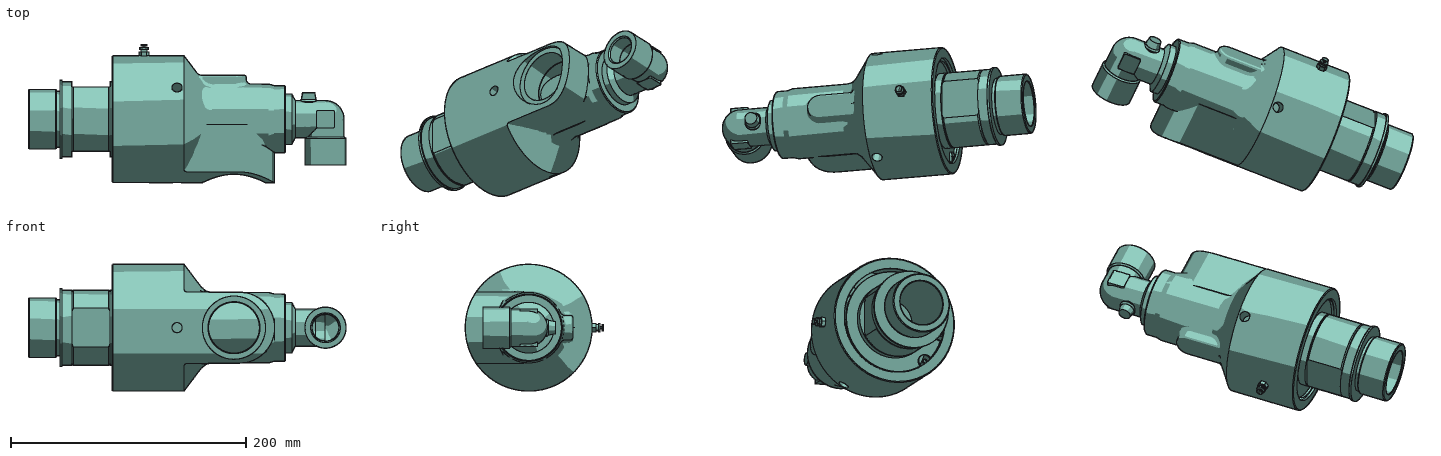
import cadquery as cq
import math


overlap = 2.7
margin = 0.3

thread_dia = 50.8
thread_end = 24.0
thread_chamfer = 0.8
relief_dia = 47.8
flange_dia = 66.5
flange_start = 26.7
flange_end = 28.5
shaft_dia = 64.0
flat_start = 37.0
flat_end = 69.5
shaft_chamfer = 1.4
across_flats = 54.8
rotor_bore_dia = 38.0
rotor_bore_chamfer = 0.5
rotor_bore_depth = 81.0

drum_dia = 108.0
drum_start = 71.3
drum_end = 132.3
drum_chamfer = 0.8
cone_foot_x = 150.5
cone_fillet = 12.0
hub_dia = 60.0
hub_end = 204.5
end_cap_dia = 57.3
end_cap_start = 209.0
end_cap_end = 218.5
end_cap_chamfer = 0.8

recess_dia = 90.2
recess_depth = 4.3
ring_inner_dia = 87.0
ring_offset = 1.3
ring_depth = 2.2
ring_gap_angle = -30.5
lug_half_angle = 19.1
lug_centre_radius = 43.5
lug_dia = 11.3
lug_hole_dia = 3.2

vent_dia = 8.6
vent_x = 126.5
vent_count = 3
vent_depth = 16.2

block_half_height = 30.2
block_inner = 4.5
block_fillet = 4.0
block_round_x = 179.0
port_x = 174.7
spotface_dia = 53.7
spotface_floor = 45.0
port_thread_dia = 44.3
port_thread_end = 26.2
port_dia = 43.2
core_dia = 47.8

pad_half_height = 10.5
pad_top = 37.5
pad_start = 135.0
pad_fillet = 2.2
pad_foot_fillet = 4.0

nipple_x = 98.3
nipple_top = 63.5
nipple_steps = [(5.5, 59.1), (7.3, 60.8), (2.0, 62.5), (5.5, nipple_top)]
nipple_hex_dia = 8.6
nipple_hex_top = 57.3

neck_dia = 43.2
neck_end = 224.0
pipe_start = 227.0
pipe_dia = 32.0
elbow_x = 252.5
socket_dia = 35.0
socket_start = 15.0
socket_end = 39.0
socket_chamfer = 1.4
elbow_bore_dia = 22.7
elbow_bore_chamfer = 1.0
elbow_thread_dia = 23.2
elbow_thread_end = 25.0
elbow_cross_dia = 21.5
elbow_cross_end = 252.3
elbow_bore_start = 244.0
elbow_cone_depth = 6.5
passage_dia = 19.0
passage_start = 227.0
square_side = 15.0
square_fillet = 1.4
boss_x = 238.2
boss_top_dia = 10.5
boss_foot_dia = 12.7
boss_top = 22.7
boss_flare_dia = 15.0
boss_flare_rise = 0.8


def turned(points):
    """Solid of revolution about the X axis from (x, radius) points of its outer line."""
    outline = [(points[0][0], 0)] + points + [(points[-1][0], 0)]
    return cq.Workplane("XY").polyline(outline).close().revolve(360, (0, 0, 0), (1, 0, 0))


def rod_x(dia, start, end):
    """Cylinder on the main axis."""
    return cq.Workplane("YZ", origin=(start, 0, 0)).circle(dia / 2).extrude(end - start)


def rod_y(dia, x, start, end):
    """Cylinder along Y that crosses the main axis at x."""
    return cq.Workplane("XZ", origin=(x, start, 0)).circle(dia / 2).extrude(start - end)


def make_rotor():
    """Threaded nipple, flange and shaft with two wrench flats."""
    rotor = rod_x(thread_dia, 0, thread_end).edges().chamfer(thread_chamfer)
    rotor = rotor.union(rod_x(relief_dia, thread_end - overlap, flange_start))
    rotor = rotor.union(rod_x(flange_dia, flange_start, flange_end))
    rotor = rotor.union(rod_x(shaft_dia, flange_end, flat_start))
    rotor = rotor.union(rod_x(shaft_dia, flat_start, flat_end).edges().chamfer(shaft_chamfer))
    rotor = rotor.union(rod_x(shaft_dia, flat_end, drum_start + recess_depth))
    for side in (1, -1):
        cutter = cq.Workplane("XY").box(flat_end - flat_start, shaft_dia, shaft_dia)
        middle = (flat_start + flat_end) / 2
        rotor = rotor.cut(cutter.translate((middle, side * (across_flats + shaft_dia) / 2, 0)))
    return rotor


def make_housing():
    """Drum, cone, hub and end cap as one turned body."""
    drum_radius = drum_dia / 2
    hub_radius = hub_dia / 2
    cap_radius = end_cap_dia / 2
    housing = turned([
        (drum_start, drum_radius - drum_chamfer),
        (drum_start + drum_chamfer, drum_radius),
        (drum_end, drum_radius),
        (cone_foot_x, hub_radius),
        (hub_end, hub_radius),
        (end_cap_start, cap_radius),
        (end_cap_end - end_cap_chamfer, cap_radius),
        (end_cap_end, cap_radius - end_cap_chamfer),
    ])
    low = (cone_foot_x - margin, -drum_dia, -drum_dia)
    high = (cone_foot_x + margin, drum_dia, drum_dia)
    foot = cq.selectors.BoxSelector(low, high, boundingbox=True)
    return housing.edges(foot).fillet(cone_fillet)


def stadium_bar(round_x, half_height, start, inner, outer):
    """Bar along Y from inner to outer, with a half-round +X end."""
    length = round_x - start
    plan = (
        cq.Workplane("XZ", origin=(start, inner, 0))
        .moveTo(0, -half_height)
        .lineTo(length, -half_height)
        .threePointArc((length + half_height, 0), (length, half_height))
        .lineTo(0, half_height)
        .close()
    )
    return plan.extrude(inner - outer)


def make_port_block():
    """Side block whose outer face continues the drum surface."""
    block = stadium_bar(block_round_x, block_half_height, drum_end - overlap, -block_inner, -drum_dia)
    return block.intersect(rod_x(drum_dia, drum_start, end_cap_end))


def make_pad():
    """Raised pad with a rounded top edge."""
    pad = stadium_bar(port_x, pad_half_height, pad_start, 0, pad_top)
    return pad.faces(">Y").edges().fillet(pad_fillet)


def blend(body, low, high, radius):
    """Fillet the edges, except those along Y, whose centres lie between two box corners."""
    inside = cq.selectors.BoxSelector(low, high)
    return body.edges(inside).edges("not |Y").fillet(radius)


def blend_pad_foot(body):
    """Fillet the foot of the pad on the hub and cone, below the rounded top edge."""
    half = pad_half_height + margin
    low = (drum_end, hub_dia / 2 - pad_foot_fillet, -half)
    high = (port_x + half, pad_top - pad_fillet - margin, half)
    return blend(body, low, high, pad_foot_fillet)


def blend_port_block(body):
    """Fillet where the block walls meet the cone and the hub."""
    half = block_half_height + margin
    flat_edge = math.sqrt((drum_dia / 2) ** 2 - block_half_height ** 2)
    low = (drum_end + margin, margin - flat_edge, -half)
    high = (hub_end - margin, -block_inner - margin, half)
    return blend(body, low, high, block_fillet)


def make_grease_nipple():
    """Hexagon foot with a stack of small discs and a thin stem."""
    base = drum_dia / 2 - overlap
    hexagon = cq.Workplane("XZ", origin=(nipple_x, base, 0)).polygon(6, nipple_hex_dia)
    nipple = hexagon.extrude(base - nipple_hex_top)
    bottom = nipple_hex_top
    for dia, top in nipple_steps:
        nipple = nipple.union(rod_y(dia, nipple_x, bottom, top))
        bottom = top
    return nipple


def make_elbow():
    """Elbow fitting with its square, plug boss and bore."""
    elbow = make_elbow_body().cut(elbow_bore_cutter())
    return elbow.faces("<Y").edges(cq.selectors.RadiusNthSelector(0)).chamfer(elbow_bore_chamfer)


def make_elbow_body():
    """Neck, pipe bend, socket, wrench square and the boss on the +Y side."""
    pipe_radius = pipe_dia / 2
    elbow = turned([
        (end_cap_end - overlap, neck_dia / 2),
        (neck_end, neck_dia / 2),
        (pipe_start, pipe_radius),
        (elbow_x, pipe_radius),
    ])
    elbow = elbow.union(cq.Workplane("XY").sphere(pipe_radius).translate((elbow_x, 0, 0)))
    elbow = elbow.union(rod_y(pipe_dia, elbow_x, 0, -socket_end))
    socket = rod_y(socket_dia, elbow_x, -socket_start, -socket_end)
    elbow = elbow.union(socket.faces(">Y").chamfer(socket_chamfer))
    square = cq.Workplane("XY").box(square_side, square_side, pipe_dia).edges("|Z").fillet(square_fillet)
    elbow = elbow.union(square.translate((elbow_x, 0, 0)))
    boss = cq.Workplane("XY").polyline([
        (0, 0),
        (boss_flare_dia / 2, 0),
        (boss_flare_dia / 2, pipe_radius - boss_flare_rise),
        (boss_foot_dia / 2, pipe_radius + boss_flare_rise),
        (boss_top_dia / 2, boss_top),
        (0, boss_top),
    ]).close().revolve(360, (0, 0, 0), (0, 1, 0))
    return elbow.union(boss.translate((boss_x, 0, 0)))


def elbow_bore_cutter():
    """Stepped bore from the socket with a drill cone, crossed by a bore towards the hub."""
    bore = rod_x(elbow_cross_dia, elbow_bore_start, elbow_cross_end)
    bore = bore.union(rod_x(passage_dia, passage_start, elbow_cross_end))
    drill_radius = elbow_bore_dia / 2
    drill = (
        cq.Workplane("XY")
        .polyline([(0, elbow_cone_depth), (drill_radius, 0), (drill_radius, -socket_end), (0, -socket_end)])
        .close()
        .revolve(360, (0, 0, 0), (0, 1, 0))
    )
    bore = bore.union(drill.translate((elbow_x, 0, 0)))
    return bore.union(rod_y(elbow_thread_dia, elbow_x, -elbow_thread_end, -socket_end))


def rotor_bore_cutter():
    """Blind bore from the open end of the rotor, with a bevelled mouth."""
    radius = rotor_bore_dia / 2
    return turned([
        (0, radius + rotor_bore_chamfer),
        (rotor_bore_chamfer, radius),
        (rotor_bore_depth, radius),
    ])


def recess_cutter():
    """Recess in the drum face around the retaining ring, ring and lugs left standing."""
    recess = rod_x(recess_dia, drum_start, drum_start + recess_depth)
    ring_start = drum_start + ring_depth
    ring = rod_x(recess_dia, ring_start, drum_start + recess_depth)
    gap = math.radians(ring_gap_angle)
    ring_centre = (0, -ring_offset * math.cos(gap), ring_offset * math.sin(gap))
    ring = ring.cut(rod_x(ring_inner_dia, ring_start, drum_end).translate(ring_centre))
    for side in (1, -1):
        angle = math.radians(ring_gap_angle + side * lug_half_angle)
        centre = (0, -lug_centre_radius * math.cos(angle), lug_centre_radius * math.sin(angle))
        lug = rod_x(lug_dia, ring_start, drum_start + recess_depth).translate(centre)
        hole = rod_x(lug_hole_dia, ring_start, drum_end).translate(centre)
        ring = ring.union(lug).cut(hole)
    return recess.cut(ring)


def vent_cutter():
    """Blind radial holes, evenly spaced around the drum from the -Y side."""
    drum_radius = drum_dia / 2
    hole = rod_y(vent_dia, vent_x, -drum_radius + vent_depth, -drum_radius - overlap)
    vents = hole
    for index in range(1, vent_count):
        vents = vents.union(hole.rotate((0, 0, 0), (1, 0, 0), index * 360 / vent_count))
    return vents


def port_cutter():
    """Spot face and stepped port from the -Y side, ending on a round core about the main axis."""
    port = rod_y(port_dia, port_x, 0, -drum_dia)
    port = port.cut(rod_x(core_dia, drum_end, end_cap_end))
    port = port.union(rod_y(port_thread_dia, port_x, -port_thread_end, -drum_dia))
    return port.union(rod_y(spotface_dia, port_x, -spotface_floor, -drum_dia))


housing = blend_pad_foot(make_housing().union(make_pad()))
housing = blend_port_block(housing.union(make_port_block()))
housing = housing.cut(recess_cutter()).cut(vent_cutter()).cut(port_cutter())
result = housing.union(make_rotor()).union(make_grease_nipple()).union(make_elbow())
result = result.cut(rotor_bore_cutter())